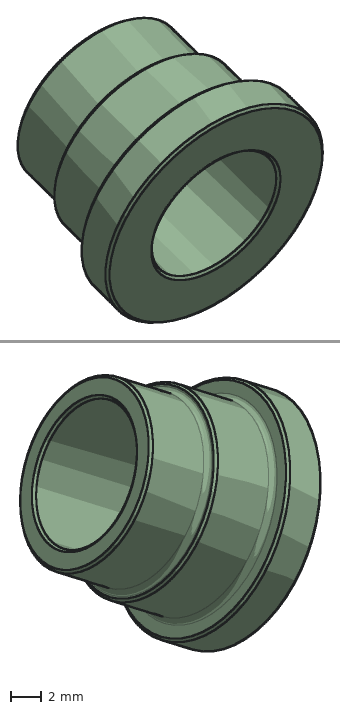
import cadquery as cq

outer_diameter = 18.0
shoulder_diameter = 15.0
nose_diameter = 13.5
bore_diameter = 10.3

total_length = 13.0
flange_thickness = 3.0
nose_length = 5.0
shoulder_length = total_length - nose_length - flange_thickness

edge_chamfer = 0.2
corner_fillet = 0.4


def cylinder_along_x(start, length, diameter):
    return cq.Workplane("YZ").workplane(offset=start).circle(diameter / 2).extrude(length)


def circular_edges(body, x, diameter):
    """Select the circular edges of the given diameter lying in the plane at x."""
    tolerance = 0.009
    reach = diameter / 2 + tolerance
    inner = diameter / 2 - tolerance
    box = cq.selectors.BoxSelector(
        (x - tolerance, -reach, -reach), (x + tolerance, reach, reach), boundingbox=True
    )
    hole = cq.selectors.BoxSelector(
        (x - tolerance, -inner, -inner), (x + tolerance, inner, inner), boundingbox=True
    )
    return body.edges("%CIRCLE").edges(box - hole)


flange_start = nose_length + shoulder_length

body = cylinder_along_x(0, nose_length, nose_diameter)
body = body.union(cylinder_along_x(nose_length, shoulder_length, shoulder_diameter))
body = body.union(cylinder_along_x(flange_start, flange_thickness, outer_diameter))

body = body.cut(cylinder_along_x(0, total_length, bore_diameter))

for x, diameter in [(nose_length, nose_diameter), (flange_start, shoulder_diameter)]:
    body = circular_edges(body, x, diameter).fillet(corner_fillet)

chamfered_edges = [
    (0, nose_diameter),
    (nose_length, shoulder_diameter),
    (flange_start, outer_diameter),
    (total_length, outer_diameter),
    (0, bore_diameter),
    (total_length, bore_diameter),
]
for x, diameter in chamfered_edges:
    body = circular_edges(body, x, diameter).chamfer(edge_chamfer)

result = body